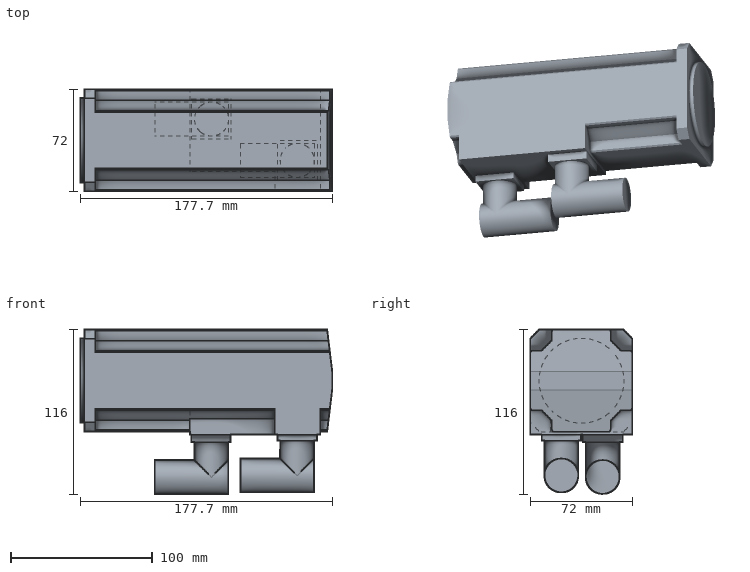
import cadquery as cq

length = 177.7
width = 72.0
half_width = width / 2

pilot_diameter = 59.9
pilot_depth = 2.8
flange_back = 10.7
flange_chamfer = 6.4

recess_reach = 15.1
recess_land = 7.8
edge_chamfer = 1.0

rear_bevel_length = 3.5
rear_bevel_height = 29.3

base_drop = 2.1
base_bottom = -half_width - base_drop
base_top = -half_width + recess_reach + edge_chamfer
base_start = 77.3
base_step = 137.2
base_end = 169.3
base_side_inset = 14.0

tube_diameter = 24.0
tube_radius = tube_diameter / 2
elbow_reach = 40.0
collar_length = 27.9
elbow_bottom_clearance = 1.0
overall_height = 116.0
rear_elbow_bottom = half_width - overall_height + elbow_bottom_clearance


def box_between(x_range, y_range, z_range):
    """Box given by its lower and upper limit along each axis."""
    low, high = zip(x_range, y_range, z_range)
    size = [b - a for a, b in zip(low, high)]
    return cq.Workplane("XY").box(*size, centered=False).translate(low)


def make_flange():
    plate = (
        cq.Workplane("YZ", origin=(pilot_depth, 0, 0))
        .rect(width, width)
        .extrude(flange_back - pilot_depth)
        .edges("|X")
        .chamfer(flange_chamfer)
    )
    pilot = cq.Workplane("YZ").circle(pilot_diameter / 2).extrude(flange_back)
    return plate.union(pilot)


def corner_recess(y_side, z_side):
    """Sloped corner recess with small chamfers at its two outer edges."""
    offsets = [
        (0, 0),
        (recess_reach + edge_chamfer, 0),
        (recess_reach, edge_chamfer),
        (recess_reach, recess_land),
        (recess_land, recess_reach),
        (edge_chamfer, recess_reach),
        (0, recess_reach + edge_chamfer),
    ]
    points = [(y_side * (half_width - y), z_side * (half_width - z)) for y, z in offsets]
    outline = cq.Workplane("YZ", origin=(flange_back, 0, 0)).polyline(points).close()
    return outline.extrude(length - flange_back)


def rear_bevel(z_side):
    points = [
        (length, z_side * half_width),
        (length - rear_bevel_length, z_side * half_width),
        (length, z_side * (half_width - rear_bevel_height)),
    ]
    return cq.Workplane("XZ").polyline(points).close().extrude(half_width, both=True)


def make_body():
    side = (-half_width, half_width)
    body = box_between((flange_back, length), side, side)
    for z_side in (-1, 1):
        for y_side in (-1, 1):
            body = body.cut(corner_recess(y_side, z_side))
        body = body.cut(rear_bevel(z_side))
    return body


def make_connector_base():
    """Base whose front part is set in from the -Y side of the body."""
    height = (base_bottom, base_top)
    front = box_between((base_start, base_step), (-half_width + base_side_inset, half_width), height)
    rear = box_between((base_step, base_end), (-half_width, half_width), height)
    return front.union(rear)


def make_elbow(x, y, collar_x, collar_width, collar_height, bottom):
    """Collar with a downward tube that turns toward the front of the motor."""
    axis_z = bottom + tube_radius
    collar_bottom = base_bottom - collar_height
    collar = box_between(
        (collar_x - collar_length / 2, collar_x + collar_length / 2),
        (y - collar_width / 2, y + collar_width / 2),
        (collar_bottom, base_bottom),
    )
    drop = cq.Workplane("XY", origin=(x, y, axis_z)).circle(tube_radius).extrude(collar_bottom - axis_z)
    run = (
        cq.Workplane("YZ", origin=(x - elbow_reach, y, axis_z))
        .circle(tube_radius)
        .extrude(elbow_reach + tube_radius)
    )
    return collar.union(drop).union(run)


front_elbow = make_elbow(
    x=92.4, y=15.1, collar_x=92.0, collar_width=28.5, collar_height=5.3,
    bottom=half_width - overall_height,
)
rear_elbow = make_elbow(
    x=152.8, y=-14.0, collar_x=153.0, collar_width=27.9, collar_height=4.3,
    bottom=rear_elbow_bottom,
)

result = make_flange().union(make_body()).union(make_connector_base())
result = result.union(front_elbow).union(rear_elbow)